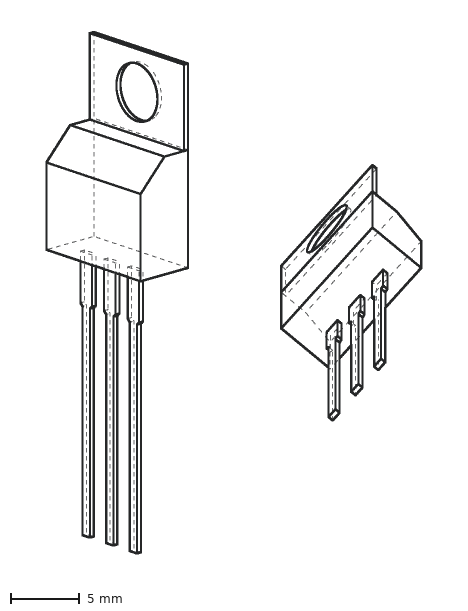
import cadquery as cq

total_height = 37.2
package_width = 10.1
package_depth = 4.7

tab_thickness = 0.4
hole_diameter = 4.4
hole_below_top = 3.3

housing_top = total_height - 6.6
chamfer_bottom = total_height - 8.93
housing_bottom = total_height - 15.6
top_face_front = 2.35

lead_count = 3
lead_pitch = 2.53
lead_thickness = 0.4
lead_back = 2.68
shoulder_width = 1.23
lead_width = 0.78
shoulder_bottom = total_height - 19.53
taper_height = (shoulder_width - lead_width) / 2


def make_tab():
    """Flat plate with a through hole near its top edge."""
    plate_height = total_height - housing_top
    plate = cq.Workplane("XY").box(
        package_width, tab_thickness, plate_height, centered=(True, False, False)
    ).translate((0, -tab_thickness, housing_top))
    hole = (
        cq.Workplane("XZ")
        .center(0, total_height - hole_below_top)
        .circle(hole_diameter / 2)
        .extrude(tab_thickness)
    )
    return plate.cut(hole)


def make_housing():
    """Block with a sloping upper front edge, constant across the width."""
    profile = [
        (0, housing_bottom),
        (0, housing_top),
        (-top_face_front, housing_top),
        (-package_depth, chamfer_bottom),
        (-package_depth, housing_bottom),
    ]
    return cq.Workplane("YZ").polyline(profile).close().extrude(package_width / 2, both=True)


def make_lead(center_x):
    """Flat lead with a wide shoulder that tapers down to a narrow pin."""
    half_shoulder = shoulder_width / 2
    half_lead = lead_width / 2
    taper_bottom = shoulder_bottom - taper_height
    outline = [
        (-half_shoulder, housing_bottom),
        (-half_shoulder, shoulder_bottom),
        (-half_lead, taper_bottom),
        (-half_lead, 0),
        (half_lead, 0),
        (half_lead, taper_bottom),
        (half_shoulder, shoulder_bottom),
        (half_shoulder, housing_bottom),
    ]
    lead = cq.Workplane("XZ").polyline(outline).close().extrude(lead_thickness)
    return lead.translate((center_x, -lead_back, 0))


tab = make_tab()
housing = make_housing()
leads = []
for index in range(lead_count):
    offset = index - (lead_count - 1) / 2
    leads.append(make_lead(offset * lead_pitch))

result = cq.Compound.makeCompound([tab.val(), housing.val(), *[lead.val() for lead in leads]])